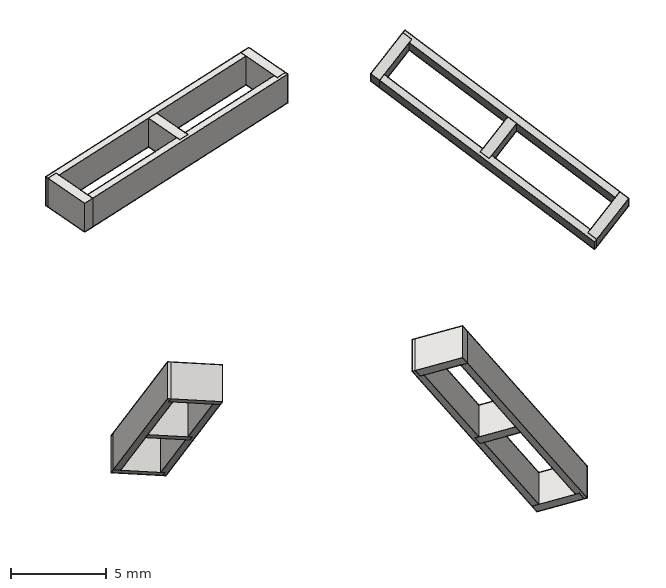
import cadquery as cq

LENGTH = 14.76
WIDTH = 2.94
HEIGHT = 2.0

RAIL_THICKNESS = 0.4
BAR_THICKNESS = 0.59
SOCKET_WALL = 0.18

LEFT_FACE = -WIDTH / 2
RIGHT_FACE = WIDTH / 2
LEFT_INNER_FACE = LEFT_FACE + RAIL_THICKNESS
RIGHT_INNER_FACE = RIGHT_FACE - RAIL_THICKNESS
FRONT_BAR_Y = -(LENGTH - BAR_THICKNESS) / 2
BACK_BAR_Y = -FRONT_BAR_Y


def upright_block(x_start, x_end, y_center, y_length):
    """Full-height rectangular block between two X positions."""
    return (
        cq.Workplane("XY")
        .box(x_end - x_start, y_length, HEIGHT)
        .translate(((x_start + x_end) / 2, y_center, 0))
    )


def make_crossbar(x_start, x_end, y_center):
    """Crossbar spanning the frame at one Y position."""
    return upright_block(x_start, x_end, y_center, BAR_THICKNESS)


def make_rail(x_start, x_end, crossbars):
    """Long side rail, notched wherever a crossbar enters it."""
    rail = upright_block(x_start, x_end, 0, LENGTH)
    for bar in crossbars:
        rail = rail.cut(bar)
    return rail


bar_placements = [
    (LEFT_FACE + SOCKET_WALL, RIGHT_FACE, FRONT_BAR_Y),
    (LEFT_INNER_FACE, RIGHT_FACE - SOCKET_WALL, 0),
    (LEFT_FACE, RIGHT_FACE - SOCKET_WALL, BACK_BAR_Y),
]
crossbars = [make_crossbar(*placement) for placement in bar_placements]

left_rail = make_rail(LEFT_FACE, LEFT_INNER_FACE, crossbars)
right_rail = make_rail(RIGHT_INNER_FACE, RIGHT_FACE, crossbars)

result = cq.Compound.makeCompound(
    [left_rail.val(), right_rail.val(), *[bar.val() for bar in crossbars]]
)